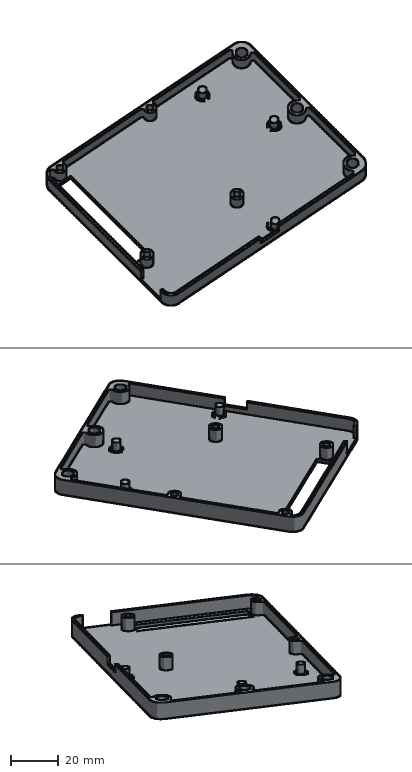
import cadquery as cq

width = 85.0
length = 110.0
height = 7.5
floor = 1.5
wall = 1.2
corner_radius = 5.0
blend_radius = 1.0

mount_boss_diameter = 7.7
mount_hole_diameter = 5.0
mount_x = 37.0
mount_y = 49.6
mount_points = [(x, mount_y) for x in (-mount_x, 0, mount_x)]

standoff_diameter = 5.5
standoff_hole_diameter = 3.0
board_left = -39.5
board_right = 18.5
board_front = -47.5
board_back = 1.6
wall_standoffs = [(board_left, y) for y in (board_front, board_back)]
free_standoffs = [(board_right, y) for y in (board_front, board_back)]

buttons = [
    ((-33.5, 25.4), 0, 0),
    ((-2.4, 39.0), 0, -90),
    ((37.6, 6.2), 0.8, 180),
]
tab_diameter = 5.0
tab_slit = 0.5
hinge_width = 2.2
pin_diameter = 3.6
pin_height = 4.3

window_left = -36.5
window_right = 15.5
window_front = -51.0
window_back = -44.1

front_opening_left = 23.6
front_opening_right = 36.5
side_opening_width = 10.0
side_opening_bottom = 4.0


def box_between(x0, x1, y0, y1, z0, z1):
    return cq.Workplane("XY").box(x1 - x0, y1 - y0, z1 - z0, centered=False).translate((x0, y0, z0))


def cylinders(points, diameter, bottom, top):
    return cq.Workplane("XY", origin=(0, 0, bottom)).pushPoints(points).circle(diameter / 2).extrude(top - bottom)


def rounded_plate(inset, bottom, top):
    plate = cq.Workplane("XY", origin=(0, 0, bottom)).rect(width - 2 * inset, length - 2 * inset)
    return plate.extrude(top - bottom).edges("|Z").fillet(corner_radius - inset)


def cavity():
    """Interior space: shrunk clear of walls and bosses, then grown back to round the junctions."""
    core = rounded_plate(wall + blend_radius, floor, height)
    for points, diameter in ((mount_points, mount_boss_diameter), (wall_standoffs, standoff_diameter)):
        core = core.cut(cylinders(points, diameter + 2 * blend_radius, floor, height))
    outline = core.faces("<Z").wires().val().offset2D(blend_radius)[0]
    return cq.Workplane("XY").add(outline).toPending().extrude(height - floor)


def tab_slot(center, hinge_angle):
    """C-shaped slit through the floor, left open where the tab hinges."""
    outer_diameter = tab_diameter + 2 * tab_slit
    ring = cq.Workplane("XY").circle(outer_diameter / 2).circle(tab_diameter / 2).extrude(floor)
    hinge = box_between(0, outer_diameter, -hinge_width / 2, hinge_width / 2, 0, floor)
    slot = ring.cut(hinge).rotate((0, 0, 0), (0, 0, 1), hinge_angle)
    return slot.translate((center[0], center[1], 0))


result = rounded_plate(0, 0, height).cut(cavity())
result = result.union(cylinders(free_standoffs, standoff_diameter, 0, height))

for tab_center, pin_offset, hinge_angle in buttons:
    result = result.cut(tab_slot(tab_center, hinge_angle))
    pin_center = (tab_center[0] + pin_offset, tab_center[1])
    result = result.union(cylinders([pin_center], pin_diameter, floor, floor + pin_height))

result = result.cut(cylinders(mount_points, mount_hole_diameter, 0, height))
result = result.cut(cylinders(wall_standoffs + free_standoffs, standoff_hole_diameter, 0, height))

result = result.cut(box_between(window_left, window_right, window_front, window_back, 0, floor))
result = result.cut(
    box_between(front_opening_left, front_opening_right, -length / 2, -length / 2 + wall, floor, height)
)
result = result.cut(
    box_between(
        width / 2 - wall, width / 2,
        -side_opening_width / 2, side_opening_width / 2,
        side_opening_bottom, height,
    )
)